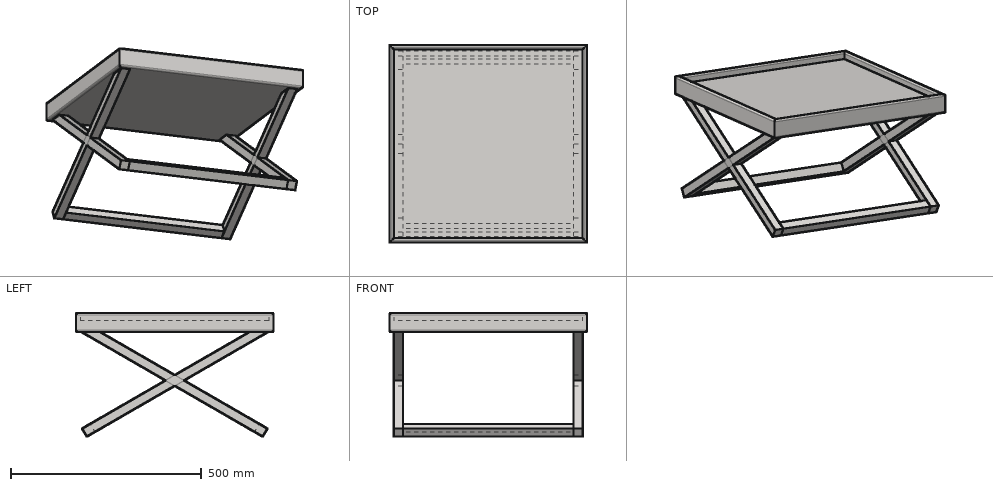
import cadquery as cq
import math

TABLE_SIDE = 520.0
TABLE_HEIGHT = 326.0

TRAY_HEIGHT = 51.0
RIM_WIDTH = 12.0
RECESS_DEPTH = 20.0
EDGE_RADIUS = 5.0

BAR_SIZE = 25.0
BASE_WIDTH = 498.0
LEG_ANGLE = 30.0
LEG_HALF_LENGTH = 274.5

TRAY_BOTTOM = TABLE_HEIGHT - TRAY_HEIGHT
RAIL_LENGTH = BASE_WIDTH - 2 * BAR_SIZE
LEG_SIN = math.sin(math.radians(LEG_ANGLE))
LEG_COS = math.cos(math.radians(LEG_ANGLE))
CROSSING_HEIGHT = LEG_HALF_LENGTH * LEG_SIN + BAR_SIZE / 2 * LEG_COS


def make_tray():
    """Square tray with a shallow recess and rounded edges."""
    tray = (
        cq.Workplane("XY", origin=(0, 0, TRAY_BOTTOM))
        .rect(TABLE_SIDE, TABLE_SIDE)
        .extrude(TRAY_HEIGHT)
        .faces("<Z").edges()
        .fillet(EDGE_RADIUS)
    )
    recess_side = TABLE_SIDE - 2 * RIM_WIDTH
    recess = (
        cq.Workplane("XY", origin=(0, 0, TABLE_HEIGHT - RECESS_DEPTH))
        .rect(recess_side, recess_side)
        .extrude(RECESS_DEPTH)
    )
    return tray.cut(recess).faces(">Z").edges().fillet(EDGE_RADIUS)


def place_on_base(bar, direction):
    """Tilt a bar about the crossing axis, its +Y end down, or its -Y end when direction is -1."""
    return bar.rotate((0, 0, 0), (1, 0, 0), -direction * LEG_ANGLE).translate((0, 0, CROSSING_HEIGHT))


def make_leg(x, direction):
    """Square leg trimmed flush with the underside of the tray."""
    leg_length = 2 * LEG_HALF_LENGTH + 2 * BAR_SIZE
    leg_middle = direction * (LEG_HALF_LENGTH - leg_length / 2)
    leg = cq.Workplane("XY").box(BAR_SIZE, leg_length, BAR_SIZE).translate((x, leg_middle, 0))
    below_tray = (
        cq.Workplane("XY")
        .rect(2 * TABLE_SIDE, 2 * TABLE_SIDE)
        .extrude(TRAY_BOTTOM)
    )
    return place_on_base(leg, direction).intersect(below_tray)


def make_leg_cross(x):
    """Two crossing legs in one plane, joined as one solid."""
    return make_leg(x, 1).union(make_leg(x, -1), clean=False)


def make_rail(direction):
    """Foot rail between the two leg crosses, flush with the lower leg ends."""
    rail_y = direction * (LEG_HALF_LENGTH - BAR_SIZE / 2)
    rail = cq.Workplane("XY").box(RAIL_LENGTH, BAR_SIZE, BAR_SIZE).translate((0, rail_y, 0))
    return place_on_base(rail, direction)


tray = make_tray()
leg_cross_x = (BASE_WIDTH - BAR_SIZE) / 2
leg_crosses = [make_leg_cross(side * leg_cross_x) for side in (-1, 1)]
rails = [make_rail(direction) for direction in (-1, 1)]

result = cq.Compound.makeCompound(
    [
        tray.val(),
        *[solid for cross in leg_crosses for solid in cross.solids().vals()],
        *[rail.val() for rail in rails],
    ]
)